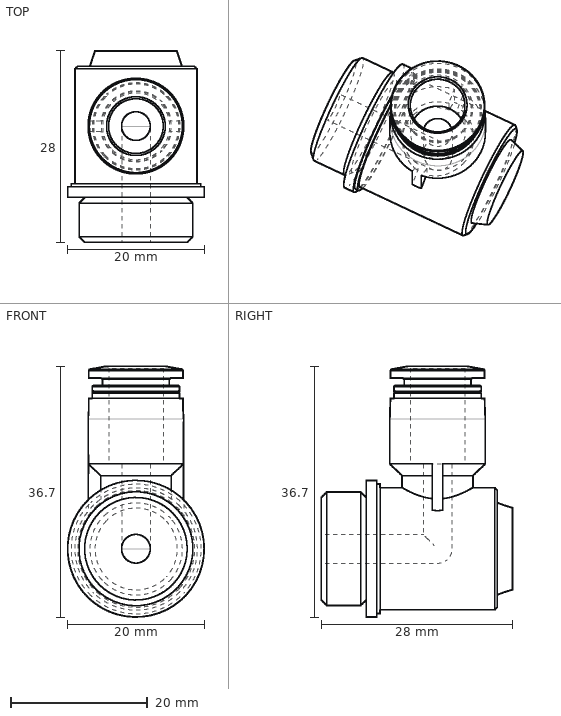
import cadquery as cq


front_y = -17.0
thread_relief_y = -11.25
flange_front_y = -10.42
flange_back_y = -8.85
washer_back_y = -8.4
body_back_y = 8.75
plug_end_y = 11.0

thread_dia = 16.66
thread_end_dia = 15.0
flange_dia = 20.0
washer_dia = 19.0
body_dia = 17.9
plug_base_dia = 13.5
plug_end_dia = 12.0
body_chamfer = 0.4

shoulder_bottom_z = 10.7
shoulder_top_z = 12.4
taper_start_z = 19.0
socket_top_z = 22.0
lower_ring_top_z = 22.9
upper_ring_bottom_z = 23.05
upper_ring_top_z = 23.9
collar_bottom_z = 24.95
collar_top_z = 26.25
stem_top_z = 26.7

neck_dia = 10.4
socket_dia = 14.0
socket_top_dia = 13.8
ring_dia = 12.8
ring_groove_dia = 12.4
sleeve_dia = 9.8
collar_dia = 13.8
lower_ring_chamfer = 0.15
upper_ring_chamfer = 0.2
sleeve_flare = 0.2
collar_edge_width = 0.1
collar_edge_height = 0.2

rib_width = 1.5

tube_bore_dia = 8.0
tube_bore_chamfer = 0.3
tube_bore_floor_z = shoulder_top_z
passage_dia = 4.2


def make_body():
    """Turned body: thread, flange, washer, barrel and tapered plug."""
    thread_chamfer = (thread_dia - thread_end_dia) / 2
    return (
        cq.Workplane("XY")
        .moveTo(0, front_y)
        .lineTo(thread_end_dia / 2, front_y)
        .lineTo(thread_dia / 2, front_y + thread_chamfer)
        .lineTo(thread_dia / 2, thread_relief_y)
        .lineTo(thread_end_dia / 2, flange_front_y)
        .lineTo(flange_dia / 2, flange_front_y)
        .lineTo(flange_dia / 2, flange_back_y)
        .lineTo(washer_dia / 2, flange_back_y)
        .lineTo(washer_dia / 2, washer_back_y)
        .lineTo(body_dia / 2, washer_back_y)
        .lineTo(body_dia / 2, body_back_y - body_chamfer)
        .lineTo(body_dia / 2 - body_chamfer, body_back_y)
        .lineTo(plug_base_dia / 2, body_back_y)
        .lineTo(plug_end_dia / 2, plug_end_y)
        .lineTo(0, plug_end_y)
        .close()
        .revolve(360, (0, 0, 0), (0, 1, 0))
    )


def make_stem():
    """Turned stem: neck, socket, two sleeve rings and the release collar."""
    collar_crown_dia = tube_bore_dia + 2 * tube_bore_chamfer
    return (
        cq.Workplane("YZ")
        .lineTo(neck_dia / 2, 0)
        .lineTo(neck_dia / 2, shoulder_bottom_z)
        .lineTo(socket_dia / 2, shoulder_top_z)
        .lineTo(socket_dia / 2, taper_start_z)
        .lineTo(socket_top_dia / 2, socket_top_z)
        .lineTo(ring_dia / 2, socket_top_z)
        .lineTo(ring_dia / 2, lower_ring_top_z - lower_ring_chamfer)
        .lineTo(ring_dia / 2 - lower_ring_chamfer, lower_ring_top_z)
        .lineTo(ring_groove_dia / 2, lower_ring_top_z)
        .lineTo(ring_groove_dia / 2, upper_ring_bottom_z)
        .lineTo(ring_dia / 2, upper_ring_bottom_z)
        .lineTo(ring_dia / 2, upper_ring_top_z - upper_ring_chamfer)
        .lineTo(ring_dia / 2 - upper_ring_chamfer, upper_ring_top_z)
        .lineTo(sleeve_dia / 2, upper_ring_top_z)
        .lineTo(sleeve_dia / 2, collar_bottom_z - sleeve_flare)
        .lineTo(sleeve_dia / 2 + sleeve_flare, collar_bottom_z)
        .lineTo(collar_dia / 2, collar_bottom_z)
        .lineTo(collar_dia / 2, collar_top_z - collar_edge_height)
        .lineTo(collar_dia / 2 - collar_edge_width, collar_top_z)
        .lineTo(collar_crown_dia / 2, stem_top_z)
        .lineTo(0, stem_top_z)
        .close()
        .revolve(360, (0, 0, 0), (0, 1, 0))
    )


def make_ribs():
    """Pair of side ribs, one bar across the stem trimmed to the socket's cylinder."""
    bar = cq.Workplane("XY").rect(socket_dia, rib_width).extrude(shoulder_top_z)
    socket_cylinder = cq.Workplane("XY").circle(socket_dia / 2).extrude(shoulder_top_z)
    return bar.intersect(socket_cylinder)


def make_passages():
    """Tube bore and the passage that turns from the stem to the front face."""
    chamfer_floor_z = stem_top_z - tube_bore_chamfer
    tube_bore = (
        cq.Workplane("XZ")
        .moveTo(0, tube_bore_floor_z)
        .lineTo(tube_bore_dia / 2, tube_bore_floor_z)
        .lineTo(tube_bore_dia / 2, chamfer_floor_z)
        .lineTo(tube_bore_dia / 2 + tube_bore_chamfer, stem_top_z)
        .lineTo(0, stem_top_z)
        .close()
        .revolve(360, (0, 0, 0), (0, 1, 0))
    )
    vertical = cq.Workplane("XY").circle(passage_dia / 2).extrude(tube_bore_floor_z)
    horizontal = cq.Workplane("XZ").circle(passage_dia / 2).extrude(-front_y)
    elbow = cq.Workplane("XY").sphere(passage_dia / 2)
    return tube_bore.union(vertical).union(horizontal).union(elbow)


result = make_body().union(make_stem()).union(make_ribs()).cut(make_passages())